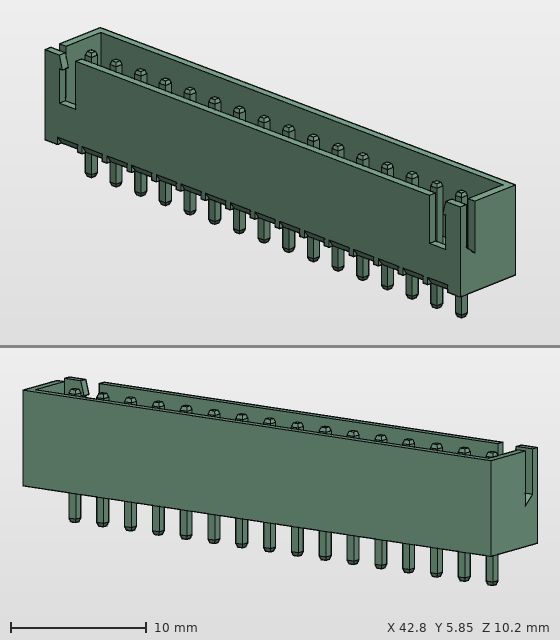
import cadquery as cq

length = 42.75
depth = 5.85
height = 7.23
wall = 0.65
end_wall = 0.7
floor_thickness = 1.3

pin_count = 16
pin_span = 38.1
pin_pitch = pin_span / (pin_count - 1)
pin_size = 0.65
pin_tip_size = 0.43
pin_front_offset = 2.52
pin_tail = 3.0
pin_top_gap = 0.2
pin_top_taper = 0.3
pin_tail_taper = 0.3

side_slot_width = 0.9
side_slot_front_depth = 3.42
side_slot_back_depth = 4.15

notch_end_offset = 1.5
notch_width = 1.65
notch_depth = 3.85
barb_reach = 0.3
barb_height = 1.1

relief_width = 2.05
relief_height = 0.6
relief_depth = 0.43

pin_positions = [-pin_span / 2 + i * pin_pitch for i in range(pin_count)]


def make_shell():
    outer = cq.Workplane("XY").box(length, depth, height, centered=(True, False, False))
    cavity = (
        cq.Workplane("XY")
        .box(length - 2 * end_wall, depth - 2 * wall, height, centered=(True, False, False))
        .translate((0, wall, floor_thickness))
    )
    return outer.cut(cavity)


def make_side_slots():
    """One prism along X that opens both end walls."""
    back = wall + side_slot_width
    profile = [
        (wall, height),
        (wall, height - side_slot_front_depth),
        (back, height - side_slot_back_depth),
        (back, height),
    ]
    return cq.Workplane("YZ").polyline(profile).close().extrude(length / 2, both=True)


def make_left_notch():
    outer_edge = -length / 2 + notch_end_offset
    inner_edge = outer_edge + notch_width
    bottom = height - notch_depth
    barb_bottom = height - barb_height
    profile = [
        (outer_edge, height),
        (outer_edge + barb_reach, barb_bottom),
        (outer_edge, barb_bottom),
        (outer_edge, bottom),
        (inner_edge, bottom),
        (inner_edge, height),
    ]
    return cq.Workplane("XZ").polyline(profile).close().extrude(-wall)


def make_relief(x):
    profile = [(0, 0), (relief_depth, 0), (0, relief_height)]
    wedge = cq.Workplane("YZ").polyline(profile).close().extrude(relief_width / 2, both=True)
    return wedge.translate((x, 0, 0))


def make_taper(z, taper_length):
    """Pin end that narrows away from height z; a negative length points it down."""
    return (
        cq.Workplane("XY", origin=(0, 0, z))
        .rect(pin_size, pin_size)
        .workplane(offset=taper_length)
        .rect(pin_tip_size, pin_tip_size)
        .loft()
    )


def make_pin(x):
    shaft_bottom = -pin_tail + pin_tail_taper
    shaft_top = height - pin_top_gap - pin_top_taper
    pin = (
        cq.Workplane("XY", origin=(0, 0, shaft_bottom))
        .rect(pin_size, pin_size)
        .extrude(shaft_top - shaft_bottom)
        .union(make_taper(shaft_top, pin_top_taper))
        .union(make_taper(shaft_bottom, -pin_tail_taper))
    )
    return pin.translate((x, pin_front_offset, 0))


left_notch = make_left_notch()
result = make_shell().cut(make_side_slots()).cut(left_notch).cut(left_notch.mirror("YZ"))
for pin_x in pin_positions:
    result = result.cut(make_relief(pin_x)).union(make_pin(pin_x))